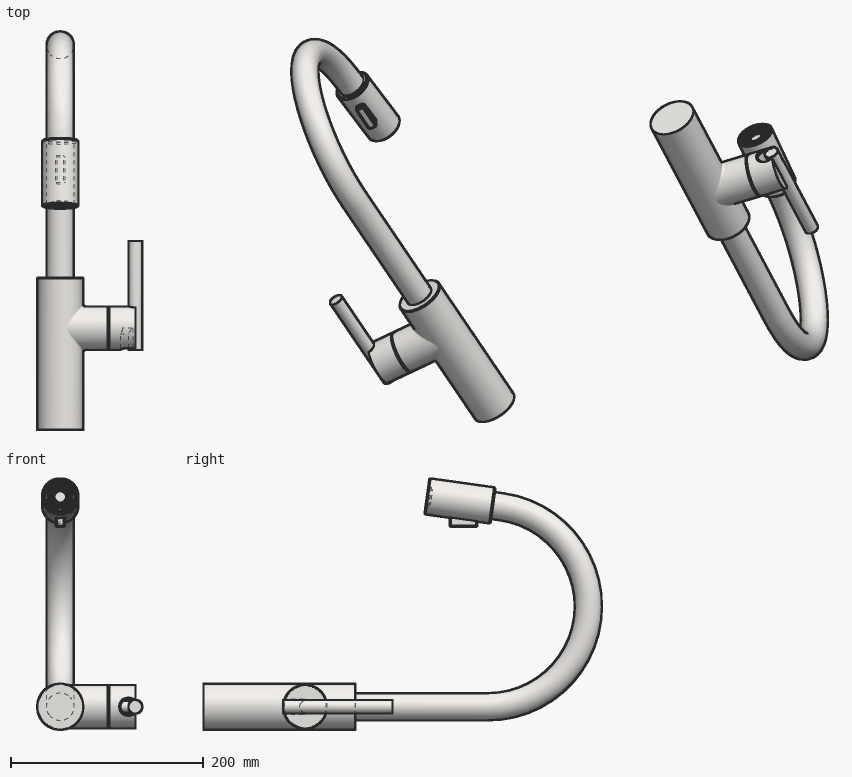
import cadquery as cq
import math

overall_width = 109.0
overall_length = 413.5

selection_margin = 0.5

column_radius = 24.0
column_length = 158.0
column_top_chamfer = 1.0
branch_radius = 22.7
branch_y = 105.5
branch_end_x = 50.0
branch_fillet = 2.0
groove_chamfer = 1.0

cap_end_x = 78.0
lever_diameter = 14.5
lever_radius = lever_diameter / 2
lever_x = overall_width - column_radius - lever_radius
lever_start_y = branch_y - branch_radius
lever_end_y = 196.0
recess_radius = 8.3
recess_x = 70.5
recess_chamfer = 1.2
stub_radius = 5.8

tube_diameter = 28.5
tube_radius = tube_diameter / 2
bend_radius = 104.0
head_tilt = 8.0
bend_start_y = overall_length - bend_radius - tube_radius
bend_angle = 180 - head_tilt
neck_length = 9.0

head_radius = 19.0
head_length = 69.5
head_rear_chamfer = 1.5
head_front_chamfer = 1.2
seam_outer_radius = 16.5
seam_inner_radius = 15.5
seam_depth = 1.2
outlet_radius = 13.0
outlet_chamfer = 1.2
outlet_depth = 2.5
nozzle_recess_radius = 10.0
nozzle_recess_depth = 3.7
nozzle_ring_radius = 8.0
nozzle_radius = 6.0
nozzle_ring_depth = 5.0

button_width = 10.0
button_start_y = 255.0
button_end_y = 284.5
button_bottom_z = 186.5
button_top_z = 206.5
button_chamfer = 1.5


def cylinder_x(radius, start_x, end_x):
    """Cylinder along X on the axis of the side branch."""
    return cq.Workplane("YZ", origin=(start_x, branch_y, 0)).circle(radius).extrude(end_x - start_x)


def cylinder_y(radius, start_y, end_y, x=0):
    """Cylinder along Y at height Z = 0."""
    return cq.Workplane("XZ", origin=(x, start_y, 0)).circle(radius).extrude(start_y - end_y)


def make_column():
    column = cylinder_y(column_radius, 0, column_length)
    column = column.faces(">Y").chamfer(column_top_chamfer)
    column = column.union(cylinder_x(branch_radius, 0, branch_end_x))
    joint_edges = cq.selectors.BoxSelector(
        (selection_margin, branch_y - column_radius, -column_radius),
        (column_radius + selection_margin, branch_y + column_radius, column_radius),
        boundingbox=True,
    )
    column = column.edges(joint_edges).fillet(branch_fillet)
    return column.faces(">X").chamfer(groove_chamfer)


def make_handle():
    cap = cylinder_x(branch_radius, branch_end_x, cap_end_x)
    cap = cap.faces("<X").chamfer(groove_chamfer)
    cap = cap.cut(cylinder_y(recess_radius, lever_start_y, branch_y, recess_x))
    rim_reach = recess_radius + selection_margin
    rim = cq.selectors.BoxSelector(
        (recess_x - rim_reach, lever_start_y - selection_margin, -rim_reach),
        (cap_end_x + selection_margin, lever_start_y + recess_radius / 2, rim_reach),
        boundingbox=True,
    )
    cap = cap.edges(rim).chamfer(recess_chamfer)
    stub = cylinder_x(stub_radius, recess_x - recess_radius - stub_radius, lever_x)
    lever = cylinder_y(lever_radius, lever_start_y, lever_end_y, lever_x)
    return cap.union(stub).union(lever)


def make_tube(head_plane):
    """Straight tube, bend and short neck up to the rear of the head."""
    full_angle = math.radians(bend_angle)

    def on_bend(angle):
        return (
            bend_start_y + bend_radius * math.sin(angle),
            bend_radius * (1 - math.cos(angle)),
        )

    path = (
        cq.Workplane("YZ")
        .moveTo(column_length, 0)
        .lineTo(bend_start_y, 0)
        .threePointArc(on_bend(full_angle / 2), on_bend(full_angle))
        .lineTo(head_plane.origin.y, head_plane.origin.z)
    )
    profile = cq.Workplane("XZ", origin=(0, column_length, 0)).circle(tube_radius)
    return profile.sweep(path)


def make_head(head_plane):
    """Spray head with a stepped outlet around its nozzle."""
    head = cq.Workplane(head_plane).circle(head_radius).extrude(head_length)
    head = head.faces("<Y").chamfer(head_front_chamfer)
    head = head.faces(">Y").chamfer(head_rear_chamfer)
    front = cq.Workplane(head_plane).workplane(offset=head_length)
    seam = front.circle(seam_outer_radius).circle(seam_inner_radius).extrude(-seam_depth)
    outlet = front.circle(outlet_radius).extrude(-outlet_depth)
    outlet = outlet.faces(">Y").chamfer(outlet_chamfer)
    nozzle_recess = front.circle(nozzle_recess_radius).extrude(-nozzle_recess_depth)
    nozzle_ring = front.circle(nozzle_ring_radius).circle(nozzle_radius).extrude(-nozzle_ring_depth)
    return head.cut(seam).cut(outlet).cut(nozzle_recess).cut(nozzle_ring)


def make_button():
    button = cq.Workplane("XY").box(
        button_width,
        button_end_y - button_start_y,
        button_top_z - button_bottom_z,
    )
    button = button.edges("|Z or <Z").chamfer(button_chamfer)
    return button.translate((
        0,
        (button_start_y + button_end_y) / 2,
        (button_bottom_z + button_top_z) / 2,
    ))


def make_spout():
    tilt = math.radians(head_tilt)
    axis_y = -math.cos(tilt)
    axis_z = math.sin(tilt)
    rear_y = bend_start_y + bend_radius * math.sin(tilt) + neck_length * axis_y
    rear_z = bend_radius * (1 + math.cos(tilt)) + neck_length * axis_z
    head_plane = cq.Plane(origin=(0, rear_y, rear_z), xDir=(1, 0, 0), normal=(0, axis_y, axis_z))
    return make_tube(head_plane).union(make_head(head_plane)).union(make_button())


column = make_column()
handle = make_handle()
spout = make_spout()

result = cq.Compound.makeCompound([column.val(), handle.val(), spout.val()])